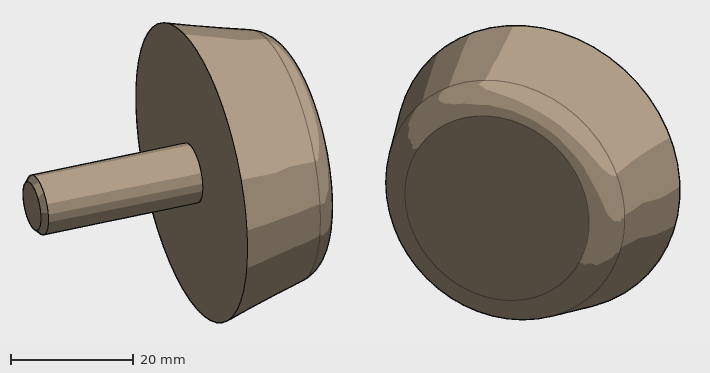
import cadquery as cq

base_diameter = 50.0
top_diameter = 40.0
head_height = 18.0
edge_radius = 5.0
stud_diameter = 10.0
stud_length = 28.0
stud_chamfer = 0.95


def make_head():
    """Cone from the base at Y = 0 to the rounded top at +Y."""
    profile = (
        cq.Workplane("XY")
        .moveTo(0, 0)
        .lineTo(base_diameter / 2, 0)
        .lineTo(top_diameter / 2, head_height)
        .lineTo(0, head_height)
        .close()
    )
    cone = profile.revolve(360, (0, 0, 0), (0, 1, 0))
    return cone.faces(">Y").edges().fillet(edge_radius)


def make_stud():
    """Plain pin from the base toward -Y, chamfered at its free end."""
    pin = cq.Workplane("XZ").circle(stud_diameter / 2).extrude(stud_length)
    return pin.faces("<Y").edges().chamfer(stud_chamfer)


result = make_head().union(make_stud())